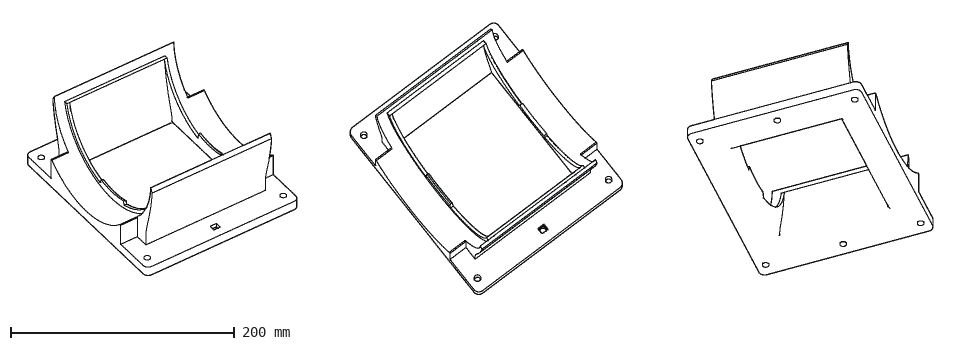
import cadquery as cq
import math

base_length = 190.0
base_width = 166.0
base_thickness = 10.0
base_corner_radius = 5.5

hole_diameter = 6.0
hole_x = 83.0
hole_y = 74.0
square_size_x = 6.0
square_size_y = 6.6
square_depth = 4.0

cradle_radius = 75.5
cradle_axis_z = 86.0
lip_radius = 72.0
lip_half_width = 54.5
lip_top_z = 72.7

wing_half_width = 65.0
wing_top_z = 83.13
wing_bevel_z = 78.4
wing_flank_top_z = 75.8
wing_max_x = 77.8
wing_foot_x = 68.0
wing_foot_z = 27.0
wing_flank_radius = 300.0
wing_foot_blend = 50.0

saddle_half_length = 54.5
saddle_top_z = 32.5

window_half_length = 59.0
window_half_width = 51.5
window_wall_z = 14.0
window_wall_blend = 28.0
window_flare_radius = 10.0

tab_half_angle = 15.0
front_tab_outer_radius = 67.5
front_tab_inner_radius = 69.0
rear_tab_inner_radius = 66.0
rear_tab_crest_radius = 65.0
rear_tab_crest_y = 53.2
rear_tab_outer_radius = 67.5

reach = 0.1
clear_z = cradle_axis_z + cradle_radius


def cylinder_along_y(radius, half_width):
    """Cylinder on the cradle axis, centred on Y = 0."""
    return (
        cq.Workplane("XZ")
        .center(0, cradle_axis_z)
        .circle(radius)
        .extrude(half_width, both=True)
    )


def box_between(half_x, half_y, low_z, high_z):
    """Box centred on X = Y = 0 between two heights."""
    return cq.Workplane("XY").workplane(offset=low_z).rect(2 * half_x, 2 * half_y).extrude(high_z - low_z)


def bulge_point(start, end, radius):
    """Middle of a shallow arc that bows towards +X when start is below end."""
    chord_x = end[0] - start[0]
    chord_z = end[1] - start[1]
    chord = math.hypot(chord_x, chord_z)
    sagitta = radius - math.sqrt(radius**2 - chord**2 / 4)
    middle_x = (start[0] + end[0]) / 2 + sagitta * chord_z / chord
    middle_z = (start[1] + end[1]) / 2 - sagitta * chord_x / chord
    return (middle_x, middle_z)


def blend_corner_edges(body, corner_x, corner_z, radius):
    """Round the two mirrored Y-direction edges that pass through the given corner."""
    for side in (-1, 1):
        corner_box = cq.selectors.BoxSelector(
            (side * corner_x - reach, -base_width, corner_z - reach),
            (side * corner_x + reach, base_width, corner_z + reach),
        )
        body = body.edges("|Y").edges(corner_box).fillet(radius)
    return body


def make_base():
    plate = box_between(base_length / 2, base_width / 2, 0, base_thickness)
    return plate.edges("|Z").fillet(base_corner_radius)


def make_wings():
    """Flared block whose middle is later hollowed by the cradle."""
    foot = (wing_foot_x, wing_foot_z)
    flank_top = (wing_max_x, wing_flank_top_z)
    tip_x = math.sqrt(cradle_radius**2 - (wing_top_z - cradle_axis_z) ** 2)
    half = (
        cq.Workplane("XZ")
        .moveTo(0, 0)
        .lineTo(wing_foot_x, 0)
        .lineTo(*foot)
        .threePointArc(bulge_point(foot, flank_top, wing_flank_radius), flank_top)
        .lineTo(wing_max_x, wing_bevel_z)
        .lineTo(tip_x, wing_top_z)
        .lineTo(0, wing_top_z)
        .close()
        .extrude(wing_half_width, both=True)
    )
    block = half.union(half.mirror("YZ"))
    return blend_corner_edges(block, wing_foot_x, wing_foot_z, wing_foot_blend)


def make_saddles():
    return box_between(saddle_half_length, base_width / 2, 0, saddle_top_z)


def make_lip():
    """Thin liner inside the cradle, cut level below the wing tips."""
    liner = cylinder_along_y(cradle_radius, lip_half_width).cut(cylinder_along_y(lip_radius, lip_half_width))
    return liner.intersect(box_between(cradle_radius, lip_half_width, 0, lip_top_z))


def make_hollow():
    """Window through the base that widens upwards behind the lip."""
    wall_foot = (window_half_length, window_wall_z)
    lip_top_x = math.sqrt(lip_radius**2 - (cradle_axis_z - lip_top_z) ** 2)
    wall_top = (lip_top_x, lip_top_z)
    half = (
        cq.Workplane("XZ")
        .moveTo(0, 0)
        .lineTo(window_half_length, 0)
        .lineTo(*wall_foot)
        .threePointArc(bulge_point(wall_foot, wall_top, wing_flank_radius), wall_top)
        .lineTo(lip_top_x, clear_z)
        .lineTo(0, clear_z)
        .close()
        .extrude(window_half_width, both=True)
    )
    hollow = half.union(half.mirror("YZ"))
    return blend_corner_edges(hollow, window_half_length, window_wall_z, window_wall_blend)


def flare_window(body):
    """Round the lower rim of the window."""
    rim_box = cq.selectors.BoxSelector(
        (-window_half_length - reach, -window_half_width - reach, -reach),
        (window_half_length + reach, window_half_width + reach, reach),
    )
    return body.edges(rim_box).fillet(window_flare_radius)


def make_tab(profile):
    """Sector standing on the lip; the profile lists its (Y, radius) points in order along Y."""
    root_radius = (lip_radius + cradle_radius) / 2
    profile_start = (profile[0][0], root_radius)
    profile_end = (profile[-1][0], root_radius)
    outline = [profile_start, *profile, profile_end]
    ring = (
        cq.Workplane("YZ")
        .polyline([(y, cradle_axis_z - radius) for y, radius in outline])
        .close()
        .revolve(2 * tab_half_angle, (0, cradle_axis_z), (1, cradle_axis_z))
    )
    axis_start = (0, 0, cradle_axis_z)
    axis_end = (0, 1, cradle_axis_z)
    return ring.rotate(axis_start, axis_end, -tab_half_angle)


def cut_holes(body):
    """Six through holes; the middle pair starts in square pockets."""
    centres = [(side * hole_x, row * hole_y) for side in (-1, 1) for row in (-1, 0, 1)]
    holes = cq.Workplane("XY").pushPoints(centres).circle(hole_diameter / 2).extrude(base_thickness)
    pockets = (
        cq.Workplane("XY")
        .workplane(offset=base_thickness - square_depth)
        .pushPoints([(-hole_x, 0), (hole_x, 0)])
        .rect(square_size_x, square_size_y)
        .extrude(square_depth)
    )
    return body.cut(holes).cut(pockets)


body = make_base().union(make_wings()).union(make_saddles())
body = body.cut(cylinder_along_y(cradle_radius, base_width))
body = body.union(make_lip())
body = flare_window(body.cut(make_hollow()))
front_tab_profile = [
    (-lip_half_width, front_tab_outer_radius),
    (-window_half_width, front_tab_inner_radius),
]
rear_tab_profile = [
    (window_half_width, rear_tab_inner_radius),
    (rear_tab_crest_y, rear_tab_crest_radius),
    (lip_half_width, rear_tab_outer_radius),
]
body = body.union(make_tab(front_tab_profile))
body = body.union(make_tab(rear_tab_profile))
result = cut_holes(body)